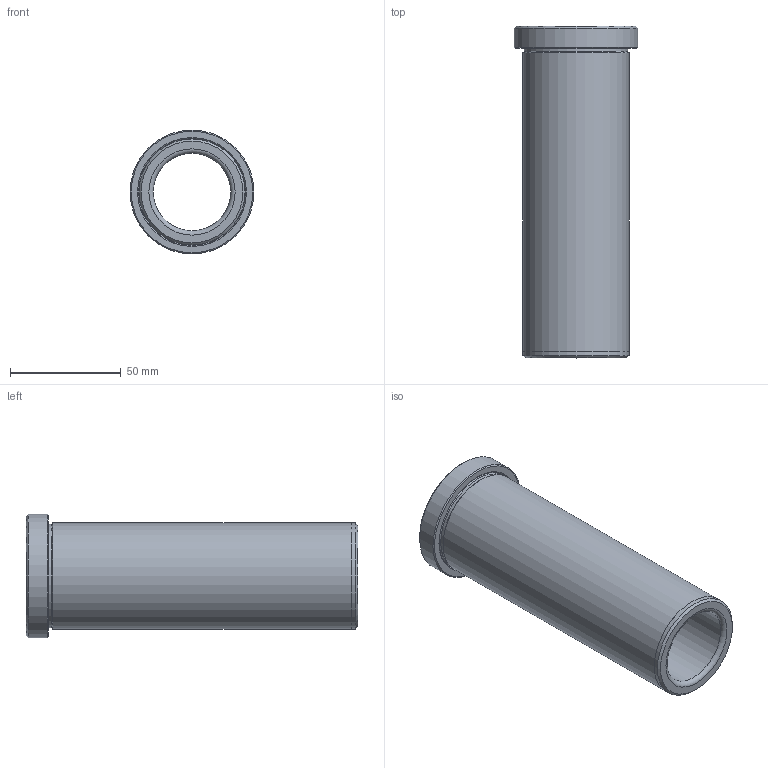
import cadquery as cq


head_diameter = 56.0
head_length = 10.0
head_face_chamfer = 1.0
head_underside_chamfer = 0.5

total_length = 150.0
shank_diameter = 48.0
lead_diameter = 47.95
lead_length = 3.0
end_chamfer = 1.0

groove_diameter = 47.0
groove_width = 1.5
undercut_diameter = 49.2
undercut_depth = 0.5
groove_corner_round = 0.5

bore_diameter = 35.0
bore_entry_round = 2.0

head_radius = head_diameter / 2
shank_radius = shank_diameter / 2
lead_radius = lead_diameter / 2
groove_radius = groove_diameter / 2
undercut_radius = undercut_diameter / 2
groove_depth = shank_radius - groove_radius
bore_radius = bore_diameter / 2
head_face = head_length
shank_end = head_length - total_length
groove_end = -groove_width
shank_start = groove_end - groove_depth


def make_bush():
    """Revolve the half section (radius, axial position) about the Y axis."""
    half_section = (
        cq.Workplane("XY")
        .moveTo(bore_radius, head_face)
        .lineTo(head_radius - head_face_chamfer, head_face)
        .lineTo(head_radius, head_face - head_face_chamfer)
        .lineTo(head_radius, head_underside_chamfer)
        .lineTo(head_radius - head_underside_chamfer, 0)
        .lineTo(undercut_radius, 0)
        .lineTo(undercut_radius - undercut_depth, undercut_depth)
        .lineTo(groove_radius + groove_corner_round, undercut_depth)
        .radiusArc((groove_radius, undercut_depth - groove_corner_round), -groove_corner_round)
        .lineTo(groove_radius, groove_end)
        .lineTo(shank_radius, shank_start)
        .lineTo(shank_radius, shank_end + lead_length)
        .lineTo(lead_radius, shank_end + lead_length)
        .lineTo(lead_radius, shank_end + end_chamfer)
        .lineTo(lead_radius - end_chamfer, shank_end)
        .lineTo(bore_radius + bore_entry_round, shank_end)
        .radiusArc((bore_radius, shank_end + bore_entry_round), bore_entry_round)
        .close()
    )
    return half_section.revolve(360, (0, 0, 0), (0, 1, 0))


result = make_bush()